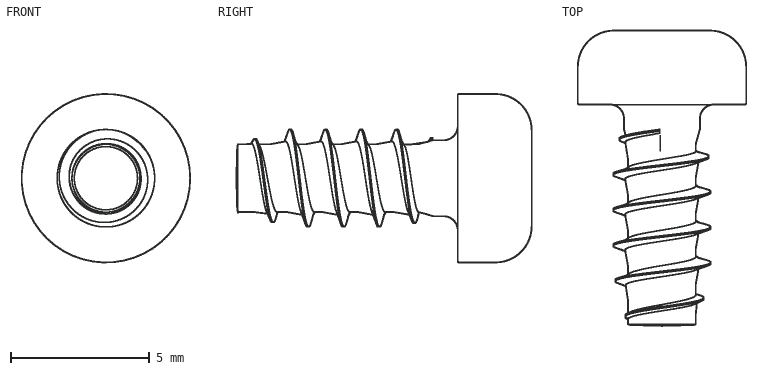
import cadquery as cq
import math

LENGTH = 10.69
HEAD_RADIUS = 6.1 / 2
HEAD_HEIGHT = 2.68
HEAD_DOME_RADIUS = 1.31
HEAD_RIM_RADIUS = 0.05
NECK_RADIUS = 1.38
NECK_FILLET = 0.5
NECK_END = 0.89
NECK_TAPER_END = 1.42
CORE_RADIUS = 1.23
TIP_BULGE = 0.03
TIP_END = LENGTH - HEAD_HEIGHT
TIP_FACE_RADIUS = 1.14
TIP_BEVEL = 0.03
TIP_EDGE = TIP_END - TIP_BULGE
BEVEL_START = TIP_EDGE - TIP_BEVEL

PITCH = 1.28
CREST_AT_PLUS_X = 1.88
BURIED_RADIUS = 1.02
CREST_WIDTH = 0.05
THREAD_START = 0.93
FULL_START = 2.14
FULL_END = 6.09
THREAD_END = TIP_END + 0.11
FULL_CREST = 1.76
START_CREST = 1.46
END_CREST = 1.21
RAMP_FOOT_OFFSET = 0.81
BURIED_FOOT = CORE_RADIUS - 0.01
END_FOOT = CORE_RADIUS - 0.04
POINTS_PER_TURN = 24


def thread_section(crest, knee, front_root, back_root, front_offset, back_offset):
    """Closed thread profile as (offset from crest, radius), head side first."""
    half_crest = CREST_WIDTH / 2
    return [
        (-front_offset, BURIED_RADIUS),
        (-front_offset, front_root),
        (-front_offset / 2, knee),
        (-half_crest, crest),
        (half_crest, crest),
        (back_offset, back_root),
        (RAMP_FOOT_OFFSET, front_root),
        (RAMP_FOOT_OFFSET, BURIED_RADIUS),
    ]


def thread_point(distance, corner):
    """Point of a profile corner when the crest is at the given distance."""
    offset, radius = corner
    angle = 2 * math.pi * (distance - CREST_AT_PLUS_X) / PITCH
    return cq.Vector(radius * math.cos(angle), -distance - offset, radius * math.sin(angle))


def corner_curve(begin, end, corner_begin, corner_end):
    """Helical edge of one corner, blending linearly between two profiles."""
    count = math.ceil((end - begin) / PITCH * POINTS_PER_TURN)
    points = []
    for index in range(count + 1):
        share = index / count
        corner = [a + share * (b - a) for a, b in zip(corner_begin, corner_end)]
        points.append(thread_point(begin + share * (end - begin), corner))
    return cq.Edge.makeSpline(points)


def thread_cap(distance, section):
    points = [thread_point(distance, corner) for corner in section]
    return cq.Face.makeFromWires(cq.Wire.makePolygon(points, close=True))


def make_thread():
    """Run-in, full-height and run-out stretches as one helical solid."""
    start = thread_section(
        crest=START_CREST, knee=1.34, front_root=BURIED_FOOT, back_root=1.33, front_offset=0.09, back_offset=0.11
    )
    full = thread_section(
        crest=FULL_CREST, knee=1.41, front_root=BURIED_FOOT, back_root=1.34, front_offset=0.24, back_offset=0.17
    )
    finish = thread_section(
        crest=END_CREST, knee=1.2, front_root=END_FOOT, back_root=1.2, front_offset=0.06, back_offset=0.1
    )
    stations = [(THREAD_START, start), (FULL_START, full), (FULL_END, full), (THREAD_END, finish)]

    faces = [thread_cap(*stations[0]), thread_cap(*stations[-1])]
    for (begin, section_begin), (end, section_end) in zip(stations, stations[1:]):
        curves = [corner_curve(begin, end, a, b) for a, b in zip(section_begin, section_end)]
        for curve, next_curve in zip(curves, curves[1:] + curves[:1]):
            faces.append(cq.Face.makeRuledSurface(curve, next_curve))
    solid = cq.Solid.makeSolid(cq.Shell.makeShell(faces))
    return cq.Workplane(obj=solid.fix())


def make_head():
    head = cq.Workplane("XZ").circle(HEAD_RADIUS).extrude(-HEAD_HEIGHT)
    return head.faces(">Y").edges().fillet(HEAD_DOME_RADIUS).faces("<Y").edges().fillet(HEAD_RIM_RADIUS)


def make_shank():
    fillet_middle = NECK_FILLET * (1 - math.sqrt(0.5))
    return (
        cq.Workplane("XY")
        .moveTo(0, HEAD_HEIGHT / 2)
        .lineTo(NECK_RADIUS + NECK_FILLET, HEAD_HEIGHT / 2)
        .lineTo(NECK_RADIUS + NECK_FILLET, 0)
        .threePointArc((NECK_RADIUS + fillet_middle, -fillet_middle), (NECK_RADIUS, -NECK_FILLET))
        .lineTo(NECK_RADIUS, -NECK_END)
        .lineTo(CORE_RADIUS, -NECK_TAPER_END)
        .lineTo(CORE_RADIUS, -BEVEL_START)
        .lineTo(TIP_FACE_RADIUS, -TIP_EDGE)
        .lineTo(0, -TIP_END)
        .close()
        .revolve(360, (0, 0, 0), (0, 1, 0))
    )


def trim_thread(thread):
    """Remove the part of the thread running past the start of the tip bevel."""
    envelope = cq.Workplane("XZ").circle(HEAD_RADIUS).extrude(BEVEL_START)
    return thread.intersect(envelope)


result = make_head().union(make_shank()).union(trim_thread(make_thread()))